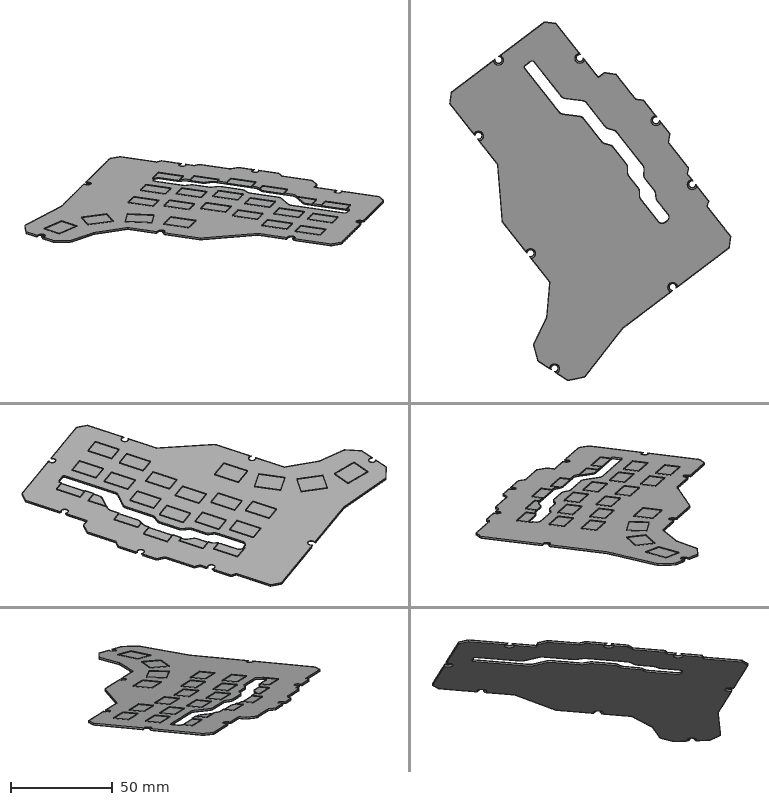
import cadquery as cq

length = 153.1
width = 121.0
thickness = 1.0

left_edge = 8.0
thumb_start = 43.0
corner_cut = 4.0
upper_right_edge = 110.4
lower_right_edge = 44.5
thumb_lower_edge = 28.8

step_1 = 113.1
step_2 = 115.5
step_3 = 117.7
step_4 = 118.2
right_step = 115.0

notch_radius = 1.7
notch_bottom_radius = 2.5
notch_inset = 1.3
thumb_notch_center = (12.4, 4.1)

pocket_depth = 0.4
key_length = 13.2
key_width = 8.0
thumb_key_width = 10.0
first_column = 43.2
last_column = 133.2
row_pitch = 16.8
middle_row = [80.2, 82.4, 85.7, 82.5, 75.3, 74.7]
column_pitch = (last_column - first_column) / (len(middle_row) - 1)
raised_column = 4
raised_key_rise = 0.6
thumb_keys = [(69.5, 44.5, 0), (49.3, 42.3, 15), (30.3, 33.7, 40), (17.1, 17.5, 70)]

slot_left = 37.4
slot_right = 141.6
slot_left_radius = 2.3
slot_right_radius = 1.0
slot_bend_radius = 3.0
slot_upper_runs = [
    (slot_left, 49.1, 95.5),
    (52.5, 61.8, 97.5),
    (65.7, 88.6, 100.7),
    (92.5, 109.6, 98.0),
    (117.4, slot_right, 90.2),
]
slot_lower_runs = [
    (slot_left, 54.8, 89.5),
    (57.9, 67.5, 92.0),
    (71.0, 83.9, 94.8),
    (87.4, 104.3, 92.0),
    (111.8, slot_right, 84.5),
]


def make_plate():
    outline = [
        (left_edge, thumb_start),
        (left_edge, step_1 - corner_cut),
        (left_edge + corner_cut, step_1),
        (31.1, step_1),
        (32.6, step_2),
        (49.9, step_2),
        (51.7, step_3),
        (68.0, step_3),
        (71.0, width),
        (92.3, width),
        (95.0, step_4),
        (110.8, step_4),
        (right_step, step_4 - corner_cut),
        (right_step, upper_right_edge),
        (length - corner_cut, upper_right_edge),
        (length, upper_right_edge - corner_cut),
        (length, lower_right_edge + corner_cut),
        (length - corner_cut, lower_right_edge),
        (110.7, lower_right_edge),
        (86.5, thumb_lower_edge),
        (48.2, thumb_lower_edge),
        (35.0, 16.7),
        (28.2, 3.2),
        (20.4, 0),
        (3.7, 5.7),
        (0, 13.3),
    ]
    return cq.Workplane("XY").polyline(outline).close().extrude(thickness)


def make_notches():
    centers = [
        (44.2, step_2 - notch_inset),
        (80.5, width - notch_inset),
        (128.1, upper_right_edge - notch_inset),
        (127.7, lower_right_edge + notch_inset),
        (65.4, thumb_lower_edge + notch_inset),
        (left_edge + notch_inset, 75.0),
        (length - notch_inset, 76.9),
        thumb_notch_center,
    ]
    cone = cq.Solid.makeCone(notch_bottom_radius, notch_radius, thickness)
    return cq.Workplane("XY").pushPoints(centers).eachpoint(lambda place: cone.moved(place))


def slot_side(runs):
    points = []
    for start_x, end_x, y in runs:
        points += [(start_x, y), (end_x, y)]
    return points


def make_slot():
    upper_side = slot_side(slot_upper_runs)
    lower_side = slot_side(slot_lower_runs)
    slot = cq.Workplane("XY").polyline(upper_side + lower_side[::-1]).close().extrude(thickness)
    slot = slot.edges("|Z and (not <X) and (not >X)").fillet(slot_bend_radius)
    slot = slot.edges("|Z and <X").fillet(slot_left_radius)
    return slot.edges("|Z and >X").fillet(slot_right_radius)


def cut_pocket(plate, x, y, size_y, angle=0):
    pocket = (
        cq.Workplane("XY", origin=(x, y, thickness - pocket_depth))
        .transformed(rotate=(0, 0, angle))
        .rect(key_length, size_y)
        .extrude(pocket_depth)
    )
    return plate.cut(pocket)


result = make_plate().cut(make_notches())

for column, middle_y in enumerate(middle_row):
    column_x = first_column + column * column_pitch
    bottom_y = middle_y - row_pitch
    if column == raised_column:
        bottom_y += raised_key_rise
    for row_y in (middle_y + row_pitch, middle_y, bottom_y):
        result = cut_pocket(result, column_x, row_y, key_width)

for thumb_x, thumb_y, thumb_angle in thumb_keys:
    result = cut_pocket(result, thumb_x, thumb_y, thumb_key_width, thumb_angle)

result = result.cut(make_slot())